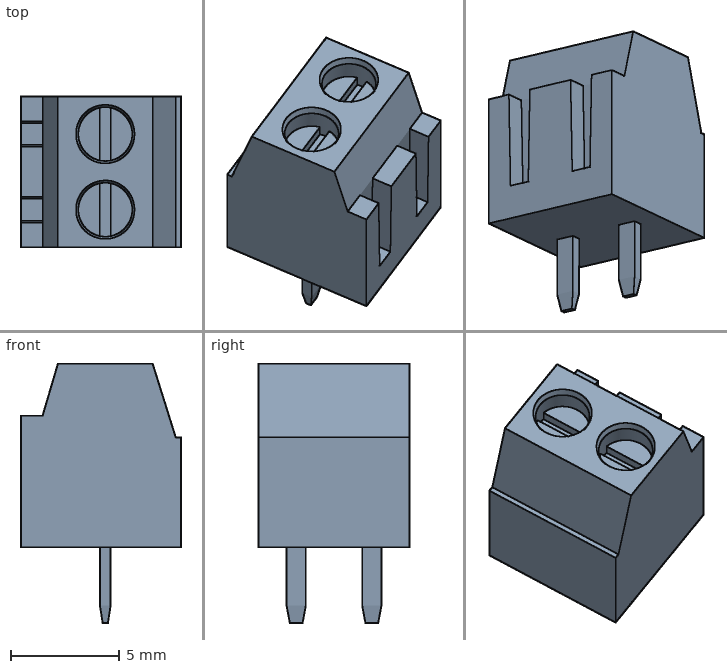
import cadquery as cq


pole_count = 2
housing_length = 7.0
pole_pitch = housing_length / pole_count
pole_positions = [(i - (pole_count - 1) / 2) * pole_pitch for i in range(pole_count)]

overall_height = 12.0
housing_depth = 7.4
housing_height = 8.5
front_shoulder_depth = 1.0
front_shoulder_height = 6.1
top_front = 1.7
top_rear = 6.1
rear_shoulder_depth = 0.24
rear_shoulder_height = 5.09

screw_axis = (top_front + top_rear) / 2
mouth_radius = 1.35
screw_radius = 1.25
mouth_depth = 0.3
screw_hole_depth = 1.2
driver_slot_width = 0.5
driver_slot_depth = 0.5

wire_slot_top_width = 1.19
wire_slot_floor_width = 1.01
wire_slot_floor = 1.6

pin_length = overall_height - housing_height
pin_thickness = 0.5
pin_width = 0.9
tip_length = 0.8
tip_thickness = 0.25
tip_width = 0.6


def make_housing_block():
    """Side outline with a stepped, sloping top, extruded along the row of poles."""
    outline = [
        (0, 0),
        (0, front_shoulder_height),
        (front_shoulder_depth, front_shoulder_height),
        (top_front, housing_height),
        (top_rear, housing_height),
        (housing_depth - rear_shoulder_depth, rear_shoulder_height),
        (housing_depth, rear_shoulder_height),
        (housing_depth, 0),
    ]
    return cq.Workplane("XZ").polyline(outline).close().extrude(housing_length / 2, both=True)


def make_screw_hole(y):
    """Round hole with a conical mouth and a driver slot across its floor."""
    floor = housing_height - screw_hole_depth
    mouth_bottom = housing_height - mouth_depth
    profile = [
        (0, floor),
        (screw_radius, floor),
        (screw_radius, mouth_bottom),
        (mouth_radius, housing_height),
        (0, housing_height),
    ]
    hole = cq.Workplane("XZ").polyline(profile).close().revolve(360, (0, 0, 0), (0, 1, 0))
    round_limit = cq.Workplane("XY").workplane(offset=floor).circle(screw_radius).extrude(-driver_slot_depth)
    driver_slot = (
        cq.Workplane("XY")
        .workplane(offset=floor)
        .rect(driver_slot_width, 2 * screw_radius)
        .extrude(-driver_slot_depth)
        .intersect(round_limit)
    )
    return hole.union(driver_slot).translate((screw_axis, y, 0))


def make_wire_slot(y):
    """Slot as deep as the front shoulder, open at the front and at the shoulder's top."""
    half_floor = wire_slot_floor_width / 2
    half_top = wire_slot_top_width / 2
    outline = [
        (-half_floor, wire_slot_floor),
        (half_floor, wire_slot_floor),
        (half_top, front_shoulder_height),
        (-half_top, front_shoulder_height),
    ]
    slot = cq.Workplane("YZ").polyline(outline).close().extrude(front_shoulder_depth)
    return slot.translate((0, y, 0))


def make_housing():
    """Housing block with one screw hole and one wire slot per pole."""
    body = make_housing_block()
    for y in pole_positions:
        body = body.cut(make_screw_hole(y)).cut(make_wire_slot(y))
    return body


def make_pin(y):
    """Flat pin hanging from the housing underside, ending in a tapered tip."""
    shank_length = pin_length - tip_length
    shank = cq.Workplane("XY").rect(pin_thickness, pin_width).extrude(-shank_length)
    tip = (
        cq.Workplane("XY")
        .workplane(offset=-shank_length)
        .rect(pin_thickness, pin_width)
        .workplane(offset=-tip_length)
        .rect(tip_thickness, tip_width)
        .loft(ruled=True)
    )
    return shank.union(tip).translate((screw_axis, y, 0))


housing = make_housing()
pins = [make_pin(y) for y in pole_positions]

result = cq.Compound.makeCompound([housing.val(), *[pin.val() for pin in pins]])